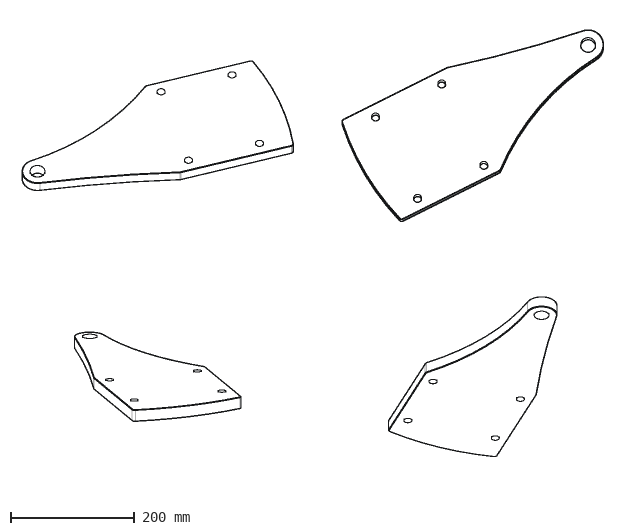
import cadquery as cq
import math

THICKNESS = 20.0
LENGTH = 442.0
LUG_RADIUS = 50.0 / 2
TOP_RADIUS = LENGTH - LUG_RADIUS
BODY_WIDTH = 190.0
BODY_LEFT = -120.0
BODY_RIGHT = BODY_LEFT + BODY_WIDTH
SHOULDER_Y = 219.5
LEFT_FLANK_RADIUS = 400.0
RIGHT_FLANK_RADIUS = 2000.0

PIVOT_DIAMETER = 24.0
BOLT_DIAMETER = 13.0
BOLT_XS = (-100.0, 50.0)
BOLT_YS = (239.5, 359.5)

CORNER_RADIUS = 5.0
EDGE_CHAMFER = 1.0


def flank_points(corner, radius):
    """Middle and lug end of a concave arc from a shoulder corner, tangent to the lug."""
    x, y = corner
    side = math.copysign(1, x)
    corner_distance = math.hypot(x, y)
    center_distance = radius + LUG_RADIUS
    along = (center_distance**2 - radius**2 + corner_distance**2) / (2 * corner_distance)
    across = math.sqrt(center_distance**2 - along**2)
    center_x = (along * x + side * across * y) / corner_distance
    center_y = (along * y - side * across * x) / corner_distance
    lug_scale = LUG_RADIUS / center_distance
    lug_end = (center_x * lug_scale, center_y * lug_scale)
    chord_x = (x + lug_end[0]) / 2 - center_x
    chord_y = (y + lug_end[1]) / 2 - center_y
    middle_scale = radius / math.hypot(chord_x, chord_y)
    middle = (center_x + chord_x * middle_scale, center_y + chord_y * middle_scale)
    return middle, lug_end


def top_corner(x):
    return (x, math.sqrt(TOP_RADIUS**2 - x**2))


def make_plate():
    left_shoulder = (BODY_LEFT, SHOULDER_Y)
    right_shoulder = (BODY_RIGHT, SHOULDER_Y)
    left_middle, left_lug = flank_points(left_shoulder, LEFT_FLANK_RADIUS)
    right_middle, right_lug = flank_points(right_shoulder, RIGHT_FLANK_RADIUS)
    plate = (
        cq.Workplane("XY")
        .workplane(offset=-THICKNESS / 2)
        .moveTo(*left_shoulder)
        .threePointArc(left_middle, left_lug)
        .threePointArc((0, -LUG_RADIUS), right_lug)
        .threePointArc(right_middle, right_shoulder)
        .lineTo(*top_corner(BODY_RIGHT))
        .threePointArc((0, TOP_RADIUS), top_corner(BODY_LEFT))
        .close()
        .extrude(THICKNESS)
    )
    body_corners = cq.selectors.BoxSelector(
        (BODY_LEFT - CORNER_RADIUS, SHOULDER_Y - CORNER_RADIUS, -THICKNESS),
        (BODY_RIGHT + CORNER_RADIUS, TOP_RADIUS + CORNER_RADIUS, THICKNESS),
    )
    plate = plate.edges("|Z").edges(body_corners).fillet(CORNER_RADIUS)
    return plate.faces("|Z").edges().chamfer(EDGE_CHAMFER)


def drill(plate, points, diameter):
    cutter = (
        cq.Workplane("XY")
        .pushPoints(points)
        .circle(diameter / 2)
        .extrude(THICKNESS, both=True)
    )
    return plate.cut(cutter)


bolt_points = [(x, y) for x in BOLT_XS for y in BOLT_YS]
result = make_plate()
result = drill(result, bolt_points, BOLT_DIAMETER)
result = drill(result, [(0, 0)], PIVOT_DIAMETER)